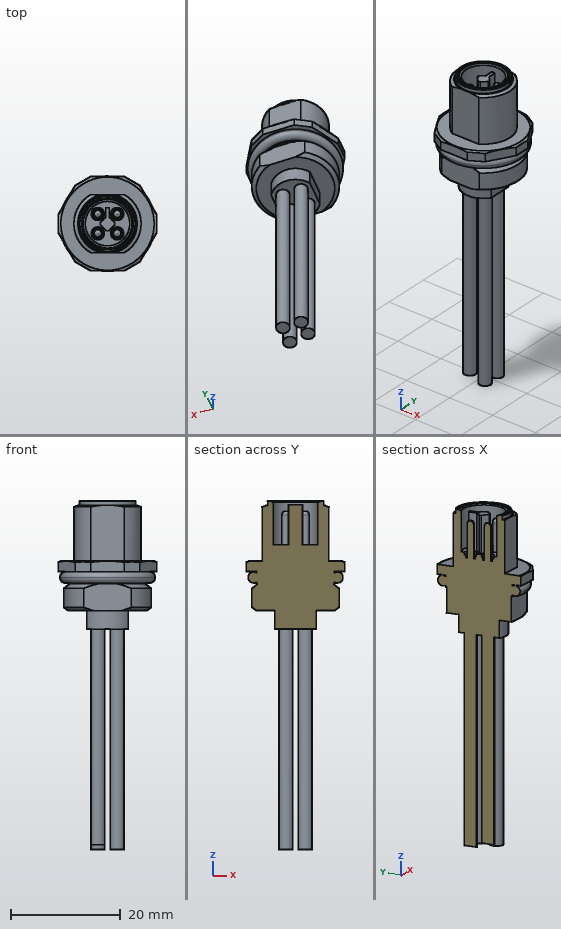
import cadquery as cq
import math

total_height = 63.6
rim_height = 0.85
flange_top = -11.0
flange_bottom = -12.95
ring_centre_z = -14.0
nut_top = -15.15
nut_bottom = -20.05
boss_bottom = -23.4
socket_floor = -8.0
pin_tip = -1.9
key_top = -0.75

sleeve_radius = 6.12
sleeve_across_flats = 10.6
sleeve_chamfer_height = 0.3
sleeve_chamfer_width = 0.72
rim_radius = 5.15
rim_chamfer = 0.12

bore_radius = 4.05
mouth_radius = 4.45
mouth_depth = 0.3
mouth_step_radius = 4.7
mouth_step_depth = 0.1

flange_rotation = 0.0
half_hexagon_step = 30.0
flange_across_flats = 17.2
flange_across_corners = 17.96
flange_chamfer_radius = 8.5
flange_chamfer_angle = 20.0

ring_outer_radius = 8.7
ring_section_radius = 1.05
ring_neck_radius = 7.1

nut_radius = 8.0
nut_across_flats = 13.4
nut_top_chamfer_width = 1.1
nut_top_chamfer_height = 0.85
nut_bottom_chamfer_width = 0.85
nut_bottom_chamfer_height = 0.6

boss_radius = 4.57
boss_across_flats = 7.6

contact_circle_radius = 2.5
contact_count = 4
first_contact_angle = 45.0
pin_radius = 0.7
pin_tip_fillet = 0.65
pin_recess_radius = 1.17
pin_recess_step_radius = 0.95
pin_recess_step_depth = 0.5
pin_recess_depth = 1.0
wire_radius = 1.27
short_wire_cutback = 0.9

post_rotation = 45.0
post_side = 2.15
post_corner_width = 2.6
rib_width = 0.72
rib_reach = 2.87


def cylinder(radius, bottom, top):
    return cq.Workplane("XY").workplane(offset=bottom).circle(radius).extrude(top - bottom)


def block(size_x, size_y, bottom, top):
    return cq.Workplane("XY").workplane(offset=bottom).rect(size_x, size_y).extrude(top - bottom)


def revolved(points):
    """Turn a closed (radius, z) outline around the Z axis."""
    return cq.Workplane("XZ").polyline(points).close().revolve(360, (0, 0), (0, 1))


def hexagon(across_flats, rotation, bottom, top):
    corner_diameter = across_flats / math.cos(math.radians(half_hexagon_step))
    prism = cq.Workplane("XY").workplane(offset=bottom).polygon(6, corner_diameter).extrude(top - bottom)
    return prism.rotate((0, 0, 0), (0, 0, 1), rotation)


def contact_points():
    step = 360.0 / contact_count
    angles = [math.radians(first_contact_angle + step * i) for i in range(contact_count)]
    return [(contact_circle_radius * math.cos(a), contact_circle_radius * math.sin(a)) for a in angles]


def sleeve():
    shoulder = -rim_height
    outline = [
        (0, flange_top),
        (sleeve_radius, flange_top),
        (sleeve_radius, shoulder - sleeve_chamfer_height),
        (sleeve_radius - sleeve_chamfer_width, shoulder),
        (0, shoulder),
    ]
    flats = block(2 * sleeve_radius, sleeve_across_flats, flange_top, shoulder)
    rim = cylinder(rim_radius, shoulder, 0).faces(">Z").edges().chamfer(rim_chamfer)
    return revolved(outline).intersect(flats).union(rim)


def flange():
    """A hexagon, its corners cut by a second hexagon, under a conical top edge."""
    prism = hexagon(flange_across_flats, flange_rotation, flange_bottom, flange_top)
    cutter_rotation = flange_rotation + half_hexagon_step
    prism = prism.intersect(hexagon(flange_across_corners, cutter_rotation, flange_bottom, flange_top))
    outer = flange_across_corners
    drop = (outer - flange_chamfer_radius) * math.tan(math.radians(flange_chamfer_angle))
    corner_limit = revolved([
        (0, flange_bottom - drop),
        (outer, flange_bottom - drop),
        (outer, flange_top - drop),
        (flange_chamfer_radius, flange_top),
        (0, flange_top),
    ])
    return prism.intersect(corner_limit)


def sealing_ring():
    """The ring together with the neck that it sits on."""
    path_radius = ring_outer_radius - ring_section_radius
    ring = cq.Workplane("XZ").center(path_radius, ring_centre_z).circle(ring_section_radius)
    ring = ring.revolve(360, (-path_radius, 0), (-path_radius, 1))
    return ring.union(cylinder(ring_neck_radius, nut_top, flange_bottom))


def collar():
    outline = [
        (0, nut_bottom),
        (nut_radius - nut_bottom_chamfer_width, nut_bottom),
        (nut_radius, nut_bottom + nut_bottom_chamfer_height),
        (nut_radius, nut_top - nut_top_chamfer_height),
        (nut_radius - nut_top_chamfer_width, nut_top),
        (0, nut_top),
    ]
    return revolved(outline).intersect(block(2 * nut_radius, nut_across_flats, nut_bottom, nut_top))


def cable_boss():
    flats = block(boss_across_flats, 2 * boss_radius, boss_bottom, nut_bottom)
    return cylinder(boss_radius, boss_bottom, nut_bottom).intersect(flats)


def socket():
    return revolved([
        (0, socket_floor),
        (bore_radius, socket_floor),
        (bore_radius, -mouth_depth),
        (mouth_radius, -mouth_step_depth),
        (mouth_step_radius, -mouth_step_depth),
        (mouth_step_radius, 0),
        (0, 0),
    ])


def pin_recesses():
    """A stepped round recess in the socket floor around each pin."""
    step_level = socket_floor - pin_recess_step_depth
    recess = cylinder(pin_recess_radius, step_level, socket_floor)
    recess = recess.union(cylinder(pin_recess_step_radius, socket_floor - pin_recess_depth, step_level))
    recesses = cq.Workplane("XY")
    for x, y in contact_points():
        recesses = recesses.union(recess.translate((x, y, 0)))
    return recesses


def pins():
    bottom = socket_floor - pin_recess_depth
    rods = cq.Workplane("XY").workplane(offset=bottom).pushPoints(contact_points())
    return rods.circle(pin_radius).extrude(pin_tip - bottom).faces(">Z").edges().fillet(pin_tip_fillet)


def coding_key():
    post = block(post_side, post_side, socket_floor, key_top).rotate((0, 0, 0), (0, 0, 1), post_rotation)
    post = post.intersect(block(post_corner_width, post_corner_width, socket_floor, key_top))
    rib = block(rib_width, rib_reach, socket_floor, key_top).translate((0, rib_reach / 2, 0))
    return post.union(rib)


def wires():
    """One wire per contact; the one at -X, -Y is cut back from the others."""
    bundle = cq.Workplane("XY")
    for x, y in contact_points():
        cutback = short_wire_cutback if x < 0 and y < 0 else 0
        wire = cylinder(wire_radius, cutback - total_height, boss_bottom)
        bundle = bundle.union(wire.translate((x, y, 0)))
    return bundle


housing = sleeve().union(flange()).union(sealing_ring()).union(collar()).union(cable_boss())
housing = housing.cut(socket()).cut(pin_recesses())
result = housing.union(pins()).union(coding_key()).union(wires())